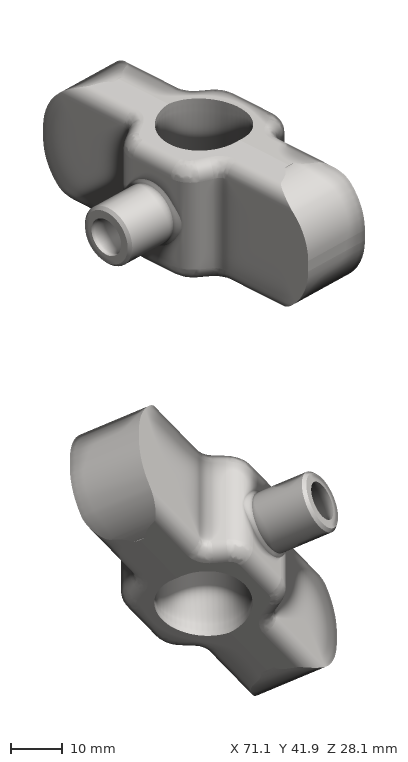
import cadquery as cq
import math

LENGTH = 71.12
ARM_THICKNESS = 15.88
HUB_DEPTH = 29.21
RIDGE_HEIGHT = 28.06
CROWN_ANGLE = 5.0
BORE_DIAMETER = 19.05

FLANK_ANGLE = 60.0
HUB_CORNER_RADIUS = 5.8
ARM_CORNER_RADIUS = 2.6
RIM_RADIUS = 3.175

END_RADIUS = 12.7
END_FLAT = 2.38

SPIGOT_DIAMETER = 12.7
SPIGOT_TIP_Y = -27.305
SPIGOT_TIP_CHAMFER = 0.635
SPIGOT_FLARE = 0.635
SPIGOT_FLARE_BURY = 1.5
BLIND_HOLE_DIAMETER = 7.94
BLIND_HOLE_DEPTH = 12.7
DRILL_POINT_ANGLE = 118.0

TOLERANCE = 0.1

half_length = LENGTH / 2
half_arm = ARM_THICKNESS / 2
half_hub = HUB_DEPTH / 2
half_ridge = RIDGE_HEIGHT / 2


def vertical_edges(solid, corner_x, corner_y):
    """The four vertical edges at (+-corner_x, +-corner_y)."""

    def at_corner(edge):
        center = edge.Center()
        x_gap = abs(abs(center.x) - corner_x)
        y_gap = abs(abs(center.y) - corner_y)
        return max(x_gap, y_gap) < TOLERANCE

    return solid.edges("|Z").filter(at_corner)


def make_plan_prism():
    """Hub and arm outline in plan, with rounded hub and arm corners."""
    hub_corner_x = half_hub / math.tan(math.radians(FLANK_ANGLE))
    flank_run = (half_hub - half_arm) / math.tan(math.radians(FLANK_ANGLE))
    arm_corner_x = hub_corner_x + flank_run
    back_side = [
        (-half_length, half_arm),
        (-arm_corner_x, half_arm),
        (-hub_corner_x, half_hub),
        (hub_corner_x, half_hub),
        (arm_corner_x, half_arm),
        (half_length, half_arm),
    ]
    front_side = [(x, -y) for x, y in reversed(back_side)]
    outline = cq.Workplane("XY").polyline(back_side + front_side).close()
    prism = outline.extrude(half_ridge, both=True)

    hub_corners = vertical_edges(prism, hub_corner_x, half_hub)
    prism = hub_corners.fillet(HUB_CORNER_RADIUS)
    arm_corners = vertical_edges(prism, arm_corner_x, half_arm)
    return arm_corners.fillet(ARM_CORNER_RADIUS)


def make_crown_envelope():
    """Prism along X whose top and bottom slope down from a ridge at Y = 0."""
    edge_z = half_ridge - half_hub * math.tan(math.radians(CROWN_ANGLE))
    section = [
        (-half_hub, -edge_z),
        (0, -half_ridge),
        (half_hub, -edge_z),
        (half_hub, edge_z),
        (0, half_ridge),
        (-half_hub, edge_z),
    ]
    return cq.Workplane("YZ").polyline(section).close().extrude(half_length, both=True)


def make_end_envelope():
    """Full-height middle block plus two narrower round-cornered ends."""
    arc_start_x = half_length - END_RADIUS
    end_height = 2 * END_RADIUS + END_FLAT
    middle = cq.Workplane("XY").box(2 * arc_start_x, HUB_DEPTH, RIDGE_HEIGHT)
    ends = cq.Workplane("XY").box(LENGTH, HUB_DEPTH, end_height)
    ends = ends.edges("|Y").fillet(END_RADIUS)
    return middle.union(ends)


def make_spigot():
    """Solid spigot with a chamfered tip and a conical flare running into the hub."""
    radius = SPIGOT_DIAMETER / 2
    flare_start_y = -half_hub - SPIGOT_FLARE
    flare_end_y = -half_hub + SPIGOT_FLARE_BURY
    flare_end_radius = radius + flare_end_y - flare_start_y
    profile = [
        (0, SPIGOT_TIP_Y),
        (radius, SPIGOT_TIP_Y),
        (radius, flare_start_y),
        (flare_end_radius, flare_end_y),
        (0, flare_end_y),
    ]
    spigot = cq.Workplane("XY").polyline(profile).close().revolve(360, (0, 0), (0, 1))
    return spigot.faces("<Y").edges().chamfer(SPIGOT_TIP_CHAMFER)


def make_blind_hole():
    """Drilled hole in the spigot, ending in a drill point."""
    radius = BLIND_HOLE_DIAMETER / 2
    floor_y = SPIGOT_TIP_Y + BLIND_HOLE_DEPTH
    apex_y = floor_y + radius / math.tan(math.radians(DRILL_POINT_ANGLE / 2))
    profile = [
        (0, SPIGOT_TIP_Y),
        (radius, SPIGOT_TIP_Y),
        (radius, floor_y),
        (0, apex_y),
    ]
    return cq.Workplane("XY").polyline(profile).close().revolve(360, (0, 0), (0, 1))


def make_bore():
    """Vertical through hole in the hub."""
    return cq.Workplane("XY").circle(BORE_DIAMETER / 2).extrude(half_ridge, both=True)


def is_rim_edge(edge):
    """True for the edges between the crowned faces and the side walls."""
    center = edge.Center()
    off_ridge = abs(center.y) > half_arm / 2
    off_end_face = abs(center.x) < half_length - TOLERANCE
    off_mid_height = abs(center.z) > half_ridge / 2
    return off_ridge and off_end_face and off_mid_height


def make_body():
    """Crowned hub and arms with rounded rims and rounded arm ends."""
    body = make_plan_prism().intersect(make_crown_envelope())
    body = body.edges().filter(is_rim_edge).fillet(RIM_RADIUS)
    return body.intersect(make_end_envelope())


result = make_body().union(make_spigot()).cut(make_blind_hole()).cut(make_bore())